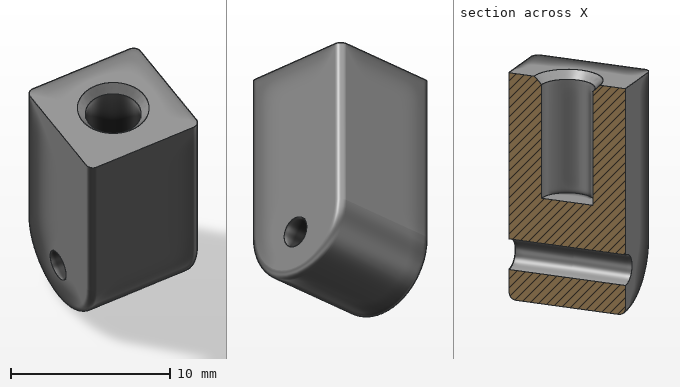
import cadquery as cq

height = 15.0
width = 8.0
end_radius = width / 2
edge_radius = 0.5

cross_hole_diameter = 2.0
cross_hole_height = 3.0

bore_diameter = 3.5
bore_depth = 8.0
countersink_diameter = 4.5


def make_body():
    """Round-ended block, its bottom at Z = 0, with rounded front and back outlines."""
    body = (
        cq.Workplane("XZ")
        .moveTo(-end_radius, height)
        .lineTo(-end_radius, end_radius)
        .threePointArc((0, 0), (end_radius, end_radius))
        .lineTo(end_radius, height)
        .close()
        .extrude(width / 2, both=True)
    )
    outline_edges = body.faces("|Y").edges("not(>Z)")
    return body.newObject(outline_edges.vals()).fillet(edge_radius)


def make_cross_hole():
    return (
        cq.Workplane("XZ")
        .center(0, cross_hole_height)
        .circle(cross_hole_diameter / 2)
        .extrude(width, both=True)
    )


def make_bore():
    """Flat-bottomed bore and its countersink, revolved about the Z axis."""
    bore_radius = bore_diameter / 2
    countersink_radius = countersink_diameter / 2
    countersink_depth = countersink_radius - bore_radius
    return (
        cq.Workplane("XZ")
        .moveTo(0, height)
        .lineTo(countersink_radius, height)
        .lineTo(bore_radius, height - countersink_depth)
        .lineTo(bore_radius, height - bore_depth)
        .lineTo(0, height - bore_depth)
        .close()
        .revolve(360, (0, 0), (0, 1))
    )


result = make_body().cut(make_cross_hole()).cut(make_bore())